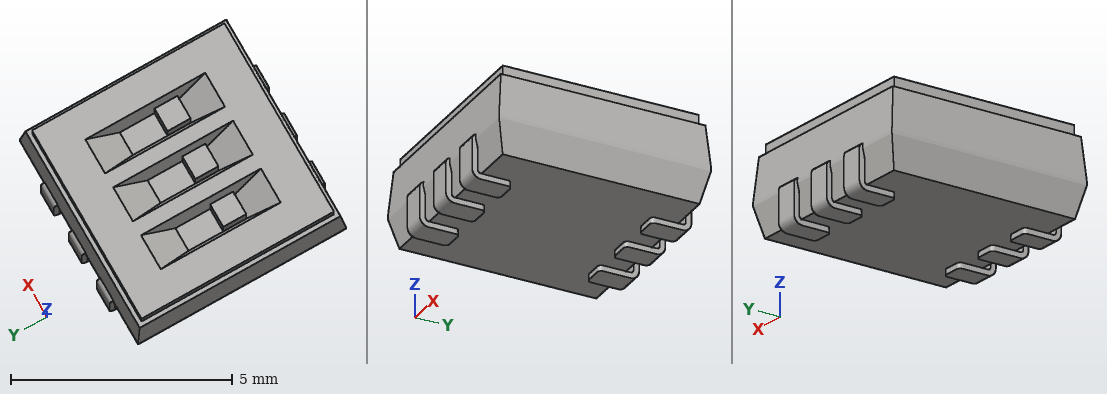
import cadquery as cq


pole_count = 3
pole_pitch = 1.27
contact_width = 0.6

overall_length = 5.6
overall_height = 2.5

bottom_side = 5.025
waist_side = 5.41
shoulder_side = 5.22
cap_side = 5.0
bottom_level = 0.2
waist_bottom_level = 1.0
waist_top_level = 1.1
shoulder_level = 2.2

slot_width = 0.9
slot_length = 3.115
slot_floor_length = 1.5
slot_depth = 0.5
slot_floor_level = overall_height - slot_depth

actuator_length = contact_width

lead_thickness = 0.145
lead_top_level = 1.135
foot_bend_outer_radius = 0.23
foot_length = 1.02
foot_corner_radius = 0.1
lead_root_depth = 2 * lead_thickness

pole_positions = [(i - (pole_count - 1) / 2) * pole_pitch for i in range(pole_count)]


def square_frustum(lower_side, lower_level, upper_side, upper_level):
    """Square block whose sides taper evenly between two levels."""
    return (
        cq.Workplane("XY")
        .workplane(offset=lower_level)
        .rect(lower_side, lower_side)
        .workplane(offset=upper_level - lower_level)
        .rect(upper_side, upper_side)
        .loft(ruled=True, combine=True)
    )


def make_housing_shell():
    """Solid housing: tapered base, straight waist, tapered upper half and raised cap."""
    base = square_frustum(bottom_side, bottom_level, waist_side, waist_bottom_level)
    waist = square_frustum(waist_side, waist_bottom_level, waist_side, waist_top_level)
    upper = square_frustum(waist_side, waist_top_level, shoulder_side, shoulder_level)
    cap = square_frustum(cap_side, shoulder_level, cap_side, overall_height)
    return base.union(waist).union(upper).union(cap)


def make_slot_cutter(x):
    """Tapered slot volume, widest at the top of the housing."""
    return (
        cq.Workplane("XY")
        .workplane(offset=slot_floor_level)
        .center(x, 0)
        .rect(contact_width, slot_floor_length)
        .workplane(offset=slot_depth)
        .rect(slot_width, slot_length)
        .loft(ruled=True, combine=True)
    )


def make_front_lead(x):
    """Lead on the -Y side: out of the waist, down, and back under the housing as a foot."""
    outer_face = -overall_length / 2
    inner_face = outer_face + lead_thickness
    root_end = outer_face + lead_root_depth
    foot_end = outer_face + foot_length
    lead = (
        cq.Workplane("YZ")
        .workplane(offset=x - contact_width / 2)
        .moveTo(root_end, lead_top_level)
        .lineTo(outer_face, lead_top_level)
        .lineTo(outer_face, 0)
        .lineTo(foot_end, 0)
        .lineTo(foot_end, lead_thickness)
        .lineTo(inner_face, lead_thickness)
        .lineTo(inner_face, lead_top_level - lead_thickness)
        .lineTo(root_end, lead_top_level - lead_thickness)
        .close()
        .extrude(contact_width)
    )
    nearest = cq.selectors.NearestToPointSelector
    lead = lead.edges(nearest((x, outer_face, lead_top_level))).fillet(lead_thickness)
    lead = lead.edges(nearest((x, outer_face, 0))).fillet(foot_bend_outer_radius)
    inner_bend_radius = foot_bend_outer_radius - lead_thickness
    lead = lead.edges(nearest((x, inner_face, lead_thickness))).fillet(inner_bend_radius)
    return lead.faces(">Y").edges("|Z").fillet(foot_corner_radius)


def make_housing():
    """Housing with its slots cut and a lead at both ends of every pole."""
    housing = make_housing_shell()
    for x in pole_positions:
        front_lead = make_front_lead(x)
        back_lead = front_lead.mirror("XZ")
        housing = housing.union(front_lead).union(back_lead).cut(make_slot_cutter(x))
    return housing


def make_actuator(x):
    """Actuator block resting on the slot floor at its -Y end, flush with the top."""
    return (
        cq.Workplane("XY")
        .workplane(offset=slot_floor_level)
        .center(x, (actuator_length - slot_floor_length) / 2)
        .rect(contact_width, actuator_length)
        .extrude(slot_depth)
    )


housing = make_housing()
actuators = [make_actuator(x).val() for x in pole_positions]

result = cq.Compound.makeCompound([housing.val(), *actuators])